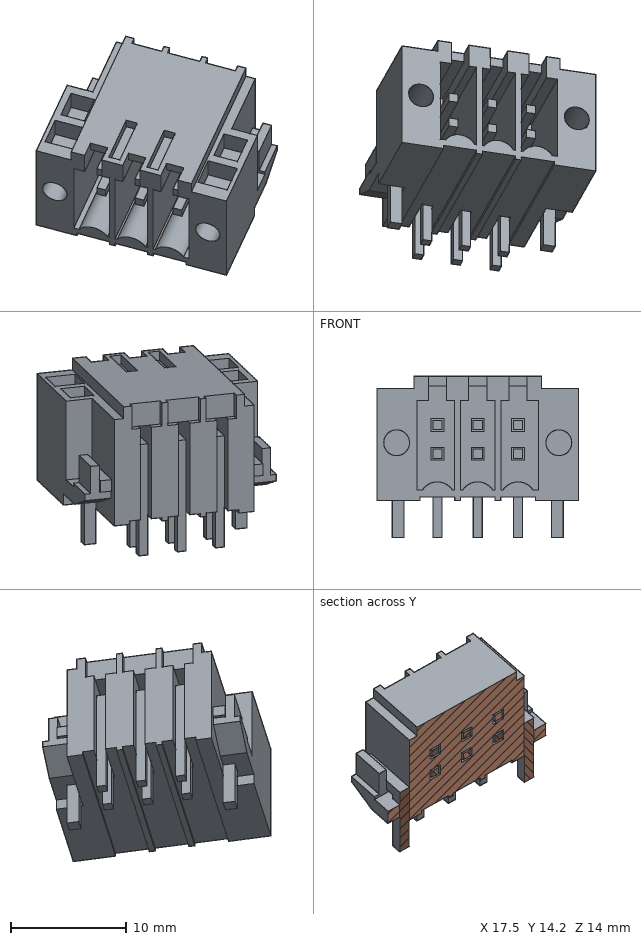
import cadquery as cq


WIDTH = 17.5
DEPTH = 14.2
TOP_Z = 10.8
SHOULDER_Z = 9.73
TOP_STEP_WIDTH = 11.06
BODY_WIDTH = 12.78
FLANK_DEPTH = 8.05
TAIL_END_Z = -3.2

PITCH = 3.5
POLE_CENTRES = (-PITCH, 0, PITCH)
PARTITION = 0.52
OUTER_CAVITY_X = 5.28
CAVITY_DEPTH = FLANK_DEPTH
CAVITY_FLOOR_Z = 0.91
CAVITY_TOP_Z = 8.68
ARCH_CHORD = 2.62
ARCH_RISE = 0.72

KEYWAY_WIDTH = 1.58
KEYWAY_TOP_Z = 9.95
NOTCH_DEPTH = 1.5
TOP_SLOT_WIDTH = 1.02
TOP_SLOT_START_Y = 0.52
TOP_SLOT_END_Y = 5.04

REAR_RECESS_DEPTH = 0.6
REAR_RECESS_EDGE_X = 4.76
FOOT_EDGE_X = 5.0
FOOT_HEIGHT = 0.32

CONTACT = 0.8
CONTACT_TIP_Y = 2.1
ROW_SPACING = 2.5
LOWER_ROW_Z = 4.06
FRONT_TAIL_Y = 10.6
CONTACT_ROWS = (
    (FRONT_TAIL_Y, LOWER_ROW_Z),
    (FRONT_TAIL_Y + ROW_SPACING, LOWER_ROW_Z + ROW_SPACING),
)
CONTACT_WINDOW = 1.1
CONTACT_WINDOW_DEPTH = 0.35
TAIL_SLOT_WIDTH = 1.02
TAIL_SLOT_START_Y = FRONT_TAIL_Y - CONTACT / 2

SCREW_HOLE_DIAMETER = 2.24
SCREW_HOLE_DEPTH = 6.3
FLANK_FEATURE_X = 7.04
SCREW_HOLE_Z = 5.02
POCKET_DEPTH = 1.84
POCKET_LENGTH = 2.62
POCKETS = ((2.68, 2.55), (2.15, 5.95))

CLIP_WIDTH = 1.05
CLIP_LEG_DEPTH = 1.0
CLIP_FRONT_Y = 8.12
CLIP_BACK_Y = 13.5
CLIP_BAR_Z = 2.98
CLIP_BAR_HEIGHT = 1.05
CLIP_INNER_X = BODY_WIDTH / 2
CLIP_OUTER_X = CLIP_INNER_X + CLIP_WIDTH

BRACKET_BACK_Y = 13.23
SHELF_Z = 2.54
BRACKET_UNDERSIDE_Z = 1.03
BRACKET_SLOPE_Y = 10.36
BRACKET_SLOPE_Z = 2.25
UNDERCUT_FRONT_Y = 7.33
POST_FRONT_Y = 10.01
POST_OUTER_X = 8.22
POST_TOP_Z = 5.34
STEP_Z = 2.85


def block(x_range, y_range, z_range):
    """Axis-aligned block between the given limits."""
    (x0, x1), (y0, y1), (z0, z1) = x_range, y_range, z_range
    return cq.Workplane("XY").box(x1 - x0, y1 - y0, z1 - z0, centered=False).translate((x0, y0, z0))


def centred(centre, size):
    """Limits of a span of the given size about its centre."""
    return (centre - size / 2, centre + size / 2)


def pole_span(x, outer_x):
    """X limits of a pole opening: partitions inside, outer_x at the end of the row."""
    inner = (PITCH - PARTITION) / 2
    if x == 0:
        return (-inner, inner)
    span = (inner + PARTITION, outer_x)
    return span if x > 0 else (-span[1], -span[0])


def bracket():
    """Right-hand bracket that carries a solder clip behind the flank."""
    outer_x = WIDTH / 2
    profile = [
        (FLANK_DEPTH, BRACKET_UNDERSIDE_Z),
        (BRACKET_SLOPE_Y, BRACKET_UNDERSIDE_Z),
        (BRACKET_BACK_Y, BRACKET_SLOPE_Z),
        (BRACKET_BACK_Y, STEP_Z),
        (POST_FRONT_Y, STEP_Z),
        (POST_FRONT_Y, SHELF_Z),
        (FLANK_DEPTH, SHELF_Z),
    ]
    arm = (
        cq.Workplane("YZ", origin=(CLIP_INNER_X, 0, 0))
        .polyline(profile)
        .close()
        .extrude(outer_x - CLIP_INNER_X)
    )
    post_y = (POST_FRONT_Y, BRACKET_BACK_Y)
    post = block((CLIP_OUTER_X, POST_OUTER_X), post_y, (STEP_Z, POST_TOP_Z))
    clip_seat = block((CLIP_INNER_X, CLIP_OUTER_X), post_y, (STEP_Z, CLIP_BAR_Z))
    return arm.union(post).union(clip_seat)


def housing_blank():
    """Stepped body with flanks at the front and clip brackets behind them."""
    half_body = BODY_WIDTH / 2
    body = block((-half_body, half_body), (0, DEPTH), (0, SHOULDER_Z))
    flanks = block((-WIDTH / 2, WIDTH / 2), (0, FLANK_DEPTH), (0, SHOULDER_Z))
    top_step = block(centred(0, TOP_STEP_WIDTH), (0, DEPTH), (SHOULDER_Z, TOP_Z))
    blank = body.union(flanks).union(top_step)
    undercut = block((half_body, WIDTH / 2), (UNDERCUT_FRONT_Y, FLANK_DEPTH), (0, BRACKET_UNDERSIDE_Z))
    right_bracket = bracket()
    for side_bracket in (right_bracket, right_bracket.mirror("YZ")):
        blank = blank.union(side_bracket)
    return blank.cut(undercut).cut(undercut.mirror("YZ"))


def arch(x):
    """Rounded rib along the floor of a pole cavity."""
    return (
        cq.Workplane("XZ", origin=(x, 0, CAVITY_FLOOR_Z))
        .moveTo(-ARCH_CHORD / 2, 0)
        .threePointArc((0, ARCH_RISE), (ARCH_CHORD / 2, 0))
        .close()
        .extrude(-CAVITY_DEPTH)
    )


def cut_pole(body, x):
    """Mating cavity, keyway, contact openings, rear recess and foot gap of one pole."""
    keyway_x = centred(x, KEYWAY_WIDTH)
    cavity = block(pole_span(x, OUTER_CAVITY_X), (0, CAVITY_DEPTH), (CAVITY_FLOOR_Z, CAVITY_TOP_Z))
    keyway = block(keyway_x, (0, CAVITY_DEPTH), (CAVITY_TOP_Z, KEYWAY_TOP_Z))
    notch = block(keyway_x, (0, NOTCH_DEPTH), (CAVITY_TOP_Z, TOP_Z))
    tail_slot = block(centred(x, TAIL_SLOT_WIDTH), (TAIL_SLOT_START_Y, DEPTH), (0, CAVITY_TOP_Z))
    rear_recess = block(
        pole_span(x, REAR_RECESS_EDGE_X), (DEPTH - REAR_RECESS_DEPTH, DEPTH), (CAVITY_TOP_Z, TOP_Z)
    )
    foot_gap = block(pole_span(x, FOOT_EDGE_X), (0, DEPTH), (0, FOOT_HEIGHT))
    body = body.cut(cavity.cut(arch(x)))
    for opening in (keyway, notch, tail_slot, rear_recess, foot_gap):
        body = body.cut(opening)
    window_y = (CAVITY_DEPTH, CAVITY_DEPTH + CONTACT_WINDOW_DEPTH)
    for _, row_z in CONTACT_ROWS:
        body = body.cut(block(centred(x, CONTACT_WINDOW), window_y, centred(row_z, CONTACT_WINDOW)))
    return body


def right_side_cutters():
    """Blind top slot over the right partition, screw hole and top pockets of the right flank."""
    slot_y = (TOP_SLOT_START_Y, TOP_SLOT_END_Y)
    cutters = [
        block(centred(PITCH / 2, TOP_SLOT_WIDTH), slot_y, (KEYWAY_TOP_Z, TOP_Z)),
        cq.Workplane("XZ")
        .center(FLANK_FEATURE_X, SCREW_HOLE_Z)
        .circle(SCREW_HOLE_DIAMETER / 2)
        .extrude(-SCREW_HOLE_DEPTH),
    ]
    pocket_z = (SHOULDER_Z - POCKET_DEPTH, SHOULDER_Z)
    for width, centre_y in POCKETS:
        cutters.append(block(centred(FLANK_FEATURE_X, width), centred(centre_y, POCKET_LENGTH), pocket_z))
    return cutters


def make_contact(x, tail_y, row_z):
    """Angled contact: a bar into the cavity and a tail down through the underside."""
    tail_y_range = centred(tail_y, CONTACT)
    bar_z_range = centred(row_z, CONTACT)
    bar = block(centred(x, CONTACT), (CONTACT_TIP_Y, tail_y_range[1]), bar_z_range)
    tail = block(centred(x, CONTACT), tail_y_range, (TAIL_END_Z, bar_z_range[1]))
    return bar.union(tail)


def make_clip():
    """Right-hand solder clip: a bar along the body side with a leg at its front."""
    x_range = (CLIP_INNER_X, CLIP_OUTER_X)
    bar_top = CLIP_BAR_Z + CLIP_BAR_HEIGHT
    bar = block(x_range, (CLIP_FRONT_Y, CLIP_BACK_Y), (CLIP_BAR_Z, bar_top))
    leg = block(x_range, (CLIP_FRONT_Y, CLIP_FRONT_Y + CLIP_LEG_DEPTH), (TAIL_END_Z, bar_top))
    return bar.union(leg)


contacts = [make_contact(x, tail_y, row_z) for x in POLE_CENTRES for tail_y, row_z in CONTACT_ROWS]
right_clip = make_clip()
clips = [right_clip, right_clip.mirror("YZ")]

housing = housing_blank()
for pole_x in POLE_CENTRES:
    housing = cut_pole(housing, pole_x)
for cutter in right_side_cutters():
    housing = housing.cut(cutter).cut(cutter.mirror("YZ"))
for insert in contacts + clips:
    housing = housing.cut(insert)

result = cq.Compound.makeCompound([body.val() for body in [housing] + contacts + clips])